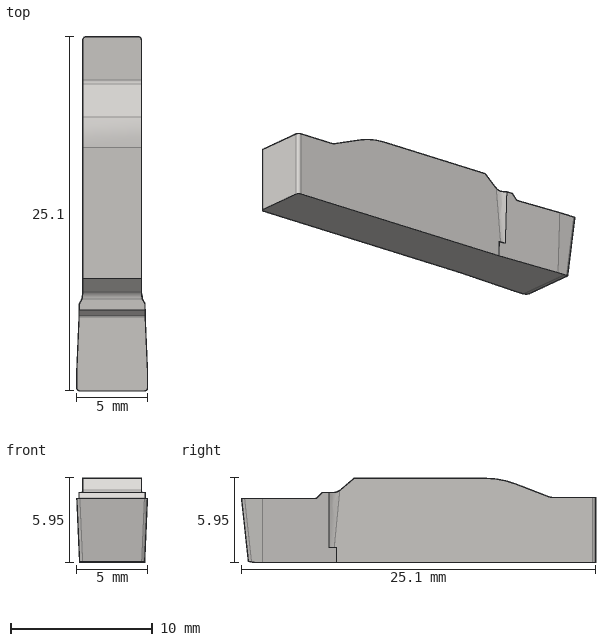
import cadquery as cq
import math

LENGTH = 25.05
HEIGHT = 5.95
FRONT = -LENGTH / 2
BACK = LENGTH / 2

BODY_HALF_WIDTH = 2.08
BODY_FRONT = -5.8
BACK_CORNER_RADIUS = 0.25

HEAD_HALF_WIDTH = 2.5
HEAD_LEAN = math.radians(2.5)
FRONT_LEAN = math.radians(6.2)
HEAD_TAPER_START = -11.02
HEAD_NECK_HALF_WIDTH = 2.3
HEAD_NECK_Y = -6.35
HEAD_CORNER_RADIUS = 0.23

HEAD_DECK = 4.53
BASE_RISE_START = -11.62
BASE_RISE = 0.15
STEP_HEIGHT = 4.95
BACK_DECK = 4.6
DECK_END = -7.25
STEP_FRONT = -6.81
STEP_BACK = -5.74
CREST_FRONT = -4.55
CREST_BACK = 5.8
BACK_SLOPE_END = 9.32
DECK_FILLET = 0.13
STEP_FILLET = 0.75
CREST_FILLET = 6
BACK_DECK_FILLET = 0.75

BLEND_BASE = 1.08
BLEND_START_LOW = -5.95
BLEND_START_HIGH = -5.49


def head_half_width(y, z):
    """Half width of the head at a place along its length and height."""
    taper = (HEAD_HALF_WIDTH - HEAD_NECK_HALF_WIDTH) / (HEAD_NECK_Y - HEAD_TAPER_START)
    narrowing = taper * max(0, y - HEAD_TAPER_START)
    return HEAD_HALF_WIDTH - narrowing - (HEAD_DECK - z) * math.tan(HEAD_LEAN)


def head_outline(z):
    """Plan outline of the head at height z."""
    front = FRONT + (HEAD_DECK - z) * math.tan(FRONT_LEAN)
    side = [(head_half_width(y, z), y) for y in (front, HEAD_TAPER_START, BODY_FRONT)]
    return side + [(-x, y) for x, y in reversed(side)]


def make_head():
    head = (
        cq.Workplane("XY").polyline(head_outline(0)).close()
        .workplane(offset=HEIGHT).polyline(head_outline(HEIGHT)).close()
        .loft(ruled=True)
    )
    upright_front_edges = cq.selectors.BoxSelector(
        (-LENGTH, FRONT - 0.25, HEIGHT / 4), (LENGTH, HEAD_TAPER_START - 0.25, HEIGHT * 3 / 4)
    )
    head = head.edges(upright_front_edges).fillet(HEAD_CORNER_RADIUS)
    neck_relief = cq.Workplane("XY").box(
        LENGTH, LENGTH, HEIGHT, centered=(True, False, False)
    ).translate((0, HEAD_NECK_Y, BLEND_BASE))
    return head.cut(neck_relief)


def make_blend():
    """Hollow fillets on both sides, growing from the blend base to the top."""
    blend = cq.Workplane("XY", origin=(0, 0, BLEND_BASE))
    for start, z in ((BLEND_START_LOW, BLEND_BASE), (BLEND_START_HIGH, HEIGHT)):
        outer = head_half_width(HEAD_NECK_Y, z)
        rise = outer - BODY_HALF_WIDTH
        run = start - HEAD_NECK_Y
        radius = (run**2 + rise**2) / (2 * rise)
        half_angle = math.asin(run / radius) / 2
        middle_x = BODY_HALF_WIDTH + radius * (1 - math.cos(half_angle))
        middle_y = start - radius * math.sin(half_angle)
        if z > BLEND_BASE:
            blend = blend.workplane(offset=z - BLEND_BASE)
        blend = (
            blend.moveTo(-BODY_HALF_WIDTH, start)
            .lineTo(BODY_HALF_WIDTH, start)
            .threePointArc((middle_x, middle_y), (outer, HEAD_NECK_Y))
            .lineTo(-outer, HEAD_NECK_Y)
            .threePointArc((-middle_x, middle_y), (-BODY_HALF_WIDTH, start))
            .close()
        )
    return blend.loft(ruled=True)


def make_body():
    return (
        cq.Workplane("XY")
        .box(2 * BODY_HALF_WIDTH, BACK - HEAD_NECK_Y, HEIGHT, centered=(True, False, False))
        .translate((0, HEAD_NECK_Y, 0))
        .edges("|Z and >Y").fillet(BACK_CORNER_RADIUS)
    )


def make_profile():
    """Side profile extruded across the whole width."""
    profile = (
        cq.Workplane("YZ")
        .polyline([
            (BASE_RISE_START, 0), (FRONT, BASE_RISE), (FRONT, HEAD_DECK), (DECK_END, HEAD_DECK),
            (STEP_FRONT, STEP_HEIGHT), (STEP_BACK, STEP_HEIGHT),
            (CREST_FRONT, HEIGHT), (CREST_BACK, HEIGHT),
            (BACK_SLOPE_END, BACK_DECK), (BACK, BACK_DECK), (BACK, 0),
        ])
        .close().extrude(HEAD_HALF_WIDTH * 2, both=True)
    )
    rounded_corners = (
        (DECK_END, HEAD_DECK, DECK_FILLET),
        (STEP_BACK, STEP_HEIGHT, STEP_FILLET),
        (CREST_BACK, HEIGHT, CREST_FILLET),
        (BACK_SLOPE_END, BACK_DECK, BACK_DECK_FILLET),
    )
    for y, z, radius in rounded_corners:
        profile = profile.edges(cq.selectors.NearestToPointSelector((0, y, z))).fillet(radius)
    return profile


result = make_body().union(make_head()).union(make_blend()).intersect(make_profile())